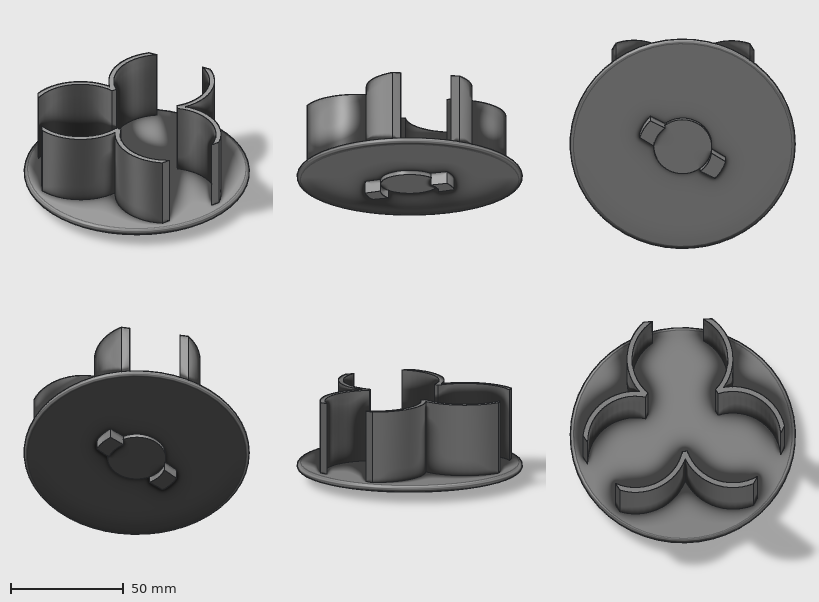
import cadquery as cq
import math

BASE_RADIUS = 50.0
BASE_THICKNESS = 3.0
RIM_RADIUS = BASE_THICKNESS / 2

LOBE_COUNT = 3
FIRST_LOBE_ANGLE = 90.0
LOBE_OFFSET = 25.0
LOBE_INNER_RADIUS = 21.25
WALL_THICKNESS = 2.25
LOBE_OUTER_RADIUS = LOBE_INNER_RADIUS + WALL_THICKNESS
WALL_HEIGHT = 32.0
CENTRE_CLEARANCE_RADIUS = 18.0
OPENING_DISTANCE = 43.0

HUB_RADIUS = 12.9
HUB_HEIGHT = 2.0
TAB_ROOT_WIDTH = 10.0
TAB_TIP_WIDTH = 9.3
TAB_HEIGHT = 5.5
TAB_ANGLES = (90, 270)
TAB_OUTER_RADIUS = 19.9


def lobe_cylinders(radius):
    """Upright cylinders, one on each lobe axis, standing on the base."""
    return (
        cq.Workplane("XY")
        .workplane(offset=BASE_THICKNESS)
        .polarArray(LOBE_OFFSET, FIRST_LOBE_ANGLE, 360, LOBE_COUNT)
        .circle(radius)
        .extrude(WALL_HEIGHT)
    )


def opening_cutter(angle):
    """Block that removes everything beyond the flat opening of one lobe."""
    return (
        cq.Workplane("XY")
        .box(LOBE_OUTER_RADIUS, 2 * LOBE_OUTER_RADIUS, WALL_HEIGHT, centered=(False, True, False))
        .translate((OPENING_DISTANCE, 0, BASE_THICKNESS))
        .rotate((0, 0, 0), (0, 0, 1), angle)
    )


def make_base():
    """Disc with a semicircular rim, revolved about the part axis."""
    flat_radius = BASE_RADIUS - RIM_RADIUS
    return (
        cq.Workplane("XZ")
        .moveTo(0, 0)
        .lineTo(flat_radius, 0)
        .threePointArc((BASE_RADIUS, RIM_RADIUS), (flat_radius, BASE_THICKNESS))
        .lineTo(0, BASE_THICKNESS)
        .close()
        .revolve(360, (0, 0, 0), (0, 1, 0))
    )


def make_wall():
    centre = (
        cq.Workplane("XY")
        .workplane(offset=BASE_THICKNESS)
        .circle(CENTRE_CLEARANCE_RADIUS)
        .extrude(WALL_HEIGHT)
    )
    wall = lobe_cylinders(LOBE_OUTER_RADIUS).cut(lobe_cylinders(LOBE_INNER_RADIUS)).cut(centre)
    for index in range(LOBE_COUNT):
        wall = wall.cut(opening_cutter(FIRST_LOBE_ANGLE + index * 360 / LOBE_COUNT))
    return wall


def tab(angle):
    """Tab pointing along the given angle: arcs at both ends, sides narrowing slightly outwards."""
    root_half_width = TAB_ROOT_WIDTH / 2
    tip_half_width = TAB_TIP_WIDTH / 2
    root_distance = math.sqrt(HUB_RADIUS**2 - root_half_width**2)
    tip_distance = math.sqrt(TAB_OUTER_RADIUS**2 - tip_half_width**2)
    return (
        cq.Workplane("XY")
        .moveTo(root_distance, -root_half_width)
        .lineTo(tip_distance, -tip_half_width)
        .threePointArc((TAB_OUTER_RADIUS, 0), (tip_distance, tip_half_width))
        .lineTo(root_distance, root_half_width)
        .threePointArc((HUB_RADIUS, 0), (root_distance, -root_half_width))
        .close()
        .extrude(-TAB_HEIGHT)
        .rotate((0, 0, 0), (0, 0, 1), angle)
    )


def make_mount():
    """Round hub with opposite tabs that stand proud of it and reach further down."""
    mount = cq.Workplane("XY").circle(HUB_RADIUS).extrude(-HUB_HEIGHT)
    for angle in TAB_ANGLES:
        mount = mount.union(tab(angle))
    return mount


result = make_base().union(make_wall()).union(make_mount())